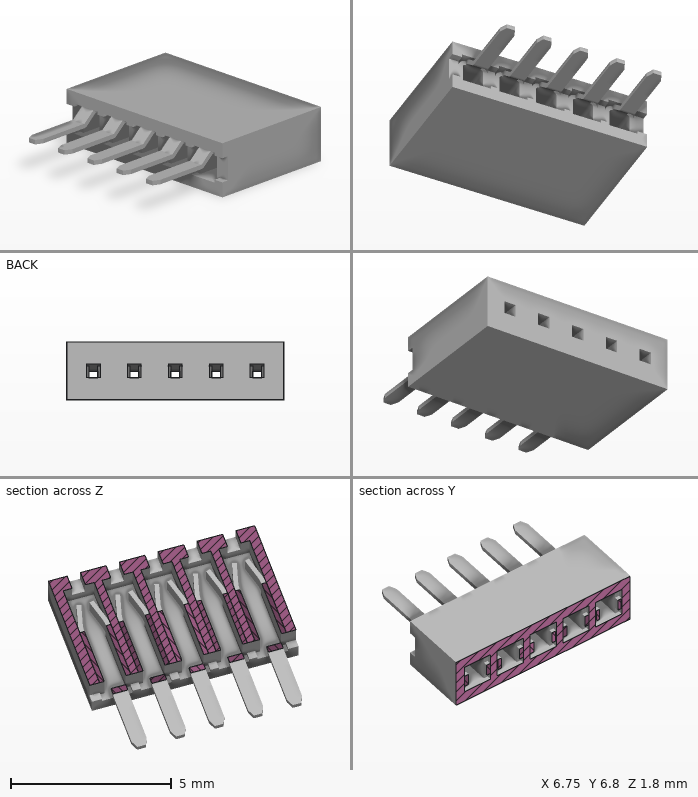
import cadquery as cq
import math

OVERALL_LENGTH = 6.8

HOUSING_WIDTH = 6.75
HOUSING_LENGTH = 4.4
HOUSING_HEIGHT = 1.8
RECESS_DEPTH = 0.25
RECESS_HEIGHT = 0.8
REAR_WALL = 0.5
ENTRY_SIZE = 0.42

CONTACT_COUNT = 5
ROW_LENGTH = 5.08
PITCH = ROW_LENGTH / (CONTACT_COUNT - 1)

CONTACT_SIZE = 1.0
STRIP = 0.15
FOLD_INNER_RADIUS = 0.1
FOLD_OUTER_RADIUS = FOLD_INNER_RADIUS + STRIP
CHANNEL_LENGTH = 2.0
CONTACT_TOP = CONTACT_SIZE / 2
CHANNEL_FRONT = RECESS_DEPTH
CHANNEL_REAR = CHANNEL_FRONT + CHANNEL_LENGTH

ARM_TOP = 0.15
ARM_BOTTOM = -0.285
ARM_GAP = 0.265
ARM_ANGLE = math.radians(14.5)
ARM_BEND_RADIUS = 1.0

TAIL_WIDTH = CONTACT_SIZE - 2 * FOLD_OUTER_RADIUS
TAIL_TOP = 0.12
TAIL_REACH = OVERALL_LENGTH - HOUSING_LENGTH
TAIL_SLOPE = math.radians(41)
UPPER_BEND_RADIUS = 0.2
LOWER_BEND_RADIUS = 0.05
TIP_LENGTH = 0.25
TIP_TAPER = 0.11


def make_housing(contact_places):
    """Block with a front groove, one square cavity per contact and an entry hole behind each."""
    housing = cq.Workplane("XY").box(HOUSING_WIDTH, HOUSING_LENGTH, HOUSING_HEIGHT)
    housing = housing.translate((0, HOUSING_LENGTH / 2, 0))
    recess = cq.Workplane("XY").box(HOUSING_WIDTH, 2 * RECESS_DEPTH, RECESS_HEIGHT)
    housing = housing.cut(recess)
    cavity_depth = HOUSING_LENGTH - REAR_WALL
    for x in contact_places:
        cavity = cq.Workplane("XY").box(CONTACT_SIZE, cavity_depth, CONTACT_SIZE)
        entry = cq.Workplane("XY").box(ENTRY_SIZE, REAR_WALL, ENTRY_SIZE)
        housing = housing.cut(cavity.translate((x, cavity_depth / 2, 0)))
        housing = housing.cut(entry.translate((x, HOUSING_LENGTH - REAR_WALL / 2, 0)))
    return housing


def make_channel():
    """Top plate and two side legs, open at the bottom, with rounded folds."""
    inner_width = CONTACT_SIZE - 2 * STRIP
    outer = (
        cq.Workplane("XY")
        .box(CONTACT_SIZE, CHANNEL_LENGTH, CONTACT_SIZE)
        .edges("|Y and >Z")
        .fillet(FOLD_OUTER_RADIUS)
    )
    inner = (
        cq.Workplane("XY")
        .box(inner_width, CHANNEL_LENGTH, CONTACT_SIZE)
        .edges("|Y and >Z")
        .fillet(FOLD_INNER_RADIUS)
        .translate((0, 0, -STRIP))
    )
    return outer.cut(inner).translate((0, CHANNEL_FRONT + CHANNEL_LENGTH / 2, 0))


def arm_bend_point(radius, angle):
    """Point on the +X arm's bend, in the XY plane, after turning inwards by the angle."""
    center_x = CONTACT_SIZE / 2 - STRIP - ARM_BEND_RADIUS
    return (center_x + radius * math.cos(angle), CHANNEL_REAR + radius * math.sin(angle))


def make_arm():
    """Spring arm on the +X side: it bends off the leg and slopes inwards to the gap."""
    outer_radius = ARM_BEND_RADIUS + STRIP
    inner_bend_end = arm_bend_point(ARM_BEND_RADIUS, ARM_ANGLE)
    tip_x = ARM_GAP / 2
    tip_y = inner_bend_end[1] + (inner_bend_end[0] - tip_x) / math.tan(ARM_ANGLE)
    outer_tip = (tip_x + STRIP * math.cos(ARM_ANGLE), tip_y + STRIP * math.sin(ARM_ANGLE))
    return (
        cq.Workplane("XY")
        .workplane(offset=ARM_BOTTOM)
        .moveTo(*arm_bend_point(ARM_BEND_RADIUS, 0))
        .threePointArc(arm_bend_point(ARM_BEND_RADIUS, ARM_ANGLE / 2), inner_bend_end)
        .lineTo(tip_x, tip_y)
        .lineTo(*outer_tip)
        .lineTo(*arm_bend_point(outer_radius, ARM_ANGLE))
        .threePointArc(arm_bend_point(outer_radius, ARM_ANGLE / 2), arm_bend_point(outer_radius, 0))
        .close()
        .extrude(ARM_TOP - ARM_BOTTOM)
    )


def tail_bend_point(center, radius, angle):
    """Point on a circle in the YZ plane, the angle measured from +Z towards -Y."""
    return (center[0] - radius * math.sin(angle), center[1] + radius * math.cos(angle))


def make_tail():
    """Bent side profile, trimmed to a plan with a tapered tip."""
    upper_outer = UPPER_BEND_RADIUS + STRIP
    lower_outer = LOWER_BEND_RADIUS + STRIP
    upper_center = (CHANNEL_FRONT, CONTACT_TOP - upper_outer)
    slope_start = tail_bend_point(upper_center, upper_outer, TAIL_SLOPE)
    lower_center_z = TAIL_TOP + LOWER_BEND_RADIUS
    slope_end_z = lower_center_z - LOWER_BEND_RADIUS * math.cos(TAIL_SLOPE)
    slope_end_y = slope_start[0] - (slope_start[1] - slope_end_z) / math.tan(TAIL_SLOPE)
    lower_center = (slope_end_y - LOWER_BEND_RADIUS * math.sin(TAIL_SLOPE), lower_center_z)

    half_slope = TAIL_SLOPE / 2
    below = math.pi
    side = (
        cq.Workplane("YZ")
        .moveTo(CHANNEL_FRONT, CONTACT_TOP)
        .threePointArc(tail_bend_point(upper_center, upper_outer, half_slope), slope_start)
        .lineTo(slope_end_y, slope_end_z)
        .threePointArc(
            tail_bend_point(lower_center, LOWER_BEND_RADIUS, below + half_slope),
            (lower_center[0], TAIL_TOP),
        )
        .lineTo(-TAIL_REACH, TAIL_TOP)
        .lineTo(-TAIL_REACH, TAIL_TOP - STRIP)
        .lineTo(lower_center[0], TAIL_TOP - STRIP)
        .threePointArc(
            tail_bend_point(lower_center, lower_outer, below + half_slope),
            tail_bend_point(lower_center, lower_outer, below + TAIL_SLOPE),
        )
        .lineTo(*tail_bend_point(upper_center, UPPER_BEND_RADIUS, TAIL_SLOPE))
        .threePointArc(
            tail_bend_point(upper_center, UPPER_BEND_RADIUS, half_slope),
            (CHANNEL_FRONT, CONTACT_TOP - STRIP),
        )
        .close()
        .extrude(TAIL_WIDTH / 2, both=True)
    )
    half_width = TAIL_WIDTH / 2
    half_tip = half_width - TIP_TAPER
    plan = (
        cq.Workplane("XY")
        .moveTo(half_width, CHANNEL_FRONT)
        .lineTo(half_width, TIP_LENGTH - TAIL_REACH)
        .lineTo(half_tip, -TAIL_REACH)
        .lineTo(-half_tip, -TAIL_REACH)
        .lineTo(-half_width, TIP_LENGTH - TAIL_REACH)
        .lineTo(-half_width, CHANNEL_FRONT)
        .close()
        .extrude(CONTACT_SIZE, both=True)
    )
    return side.intersect(plan)


def make_contact():
    """One contact, centred on X = 0."""
    arm = make_arm()
    return make_channel().union(arm).union(arm.mirror("YZ")).union(make_tail())


contact_places = [i * PITCH - ROW_LENGTH / 2 for i in range(CONTACT_COUNT)]
housing = make_housing(contact_places)
contact = make_contact()
contacts = [contact.translate((x, 0, 0)) for x in contact_places]

result = cq.Compound.makeCompound([housing.val(), *[c.val() for c in contacts]])